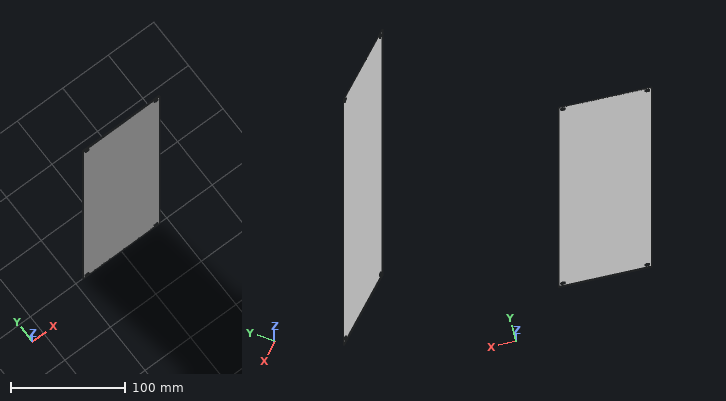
import cadquery as cq

width = 84.0
thickness = 1.0
height = 360.0

hole_diameter = 4.0
side_margin = 4.0
end_margin = 5.0

hole_spacing_x = width - 2 * side_margin
hole_spacing_z = height - 2 * end_margin

panel = cq.Workplane("XY").box(width, thickness, height)

result = (
    panel.faces("<Y")
    .workplane(centerOption="CenterOfBoundBox")
    .rect(hole_spacing_x, hole_spacing_z, forConstruction=True)
    .vertices()
    .hole(hole_diameter)
)